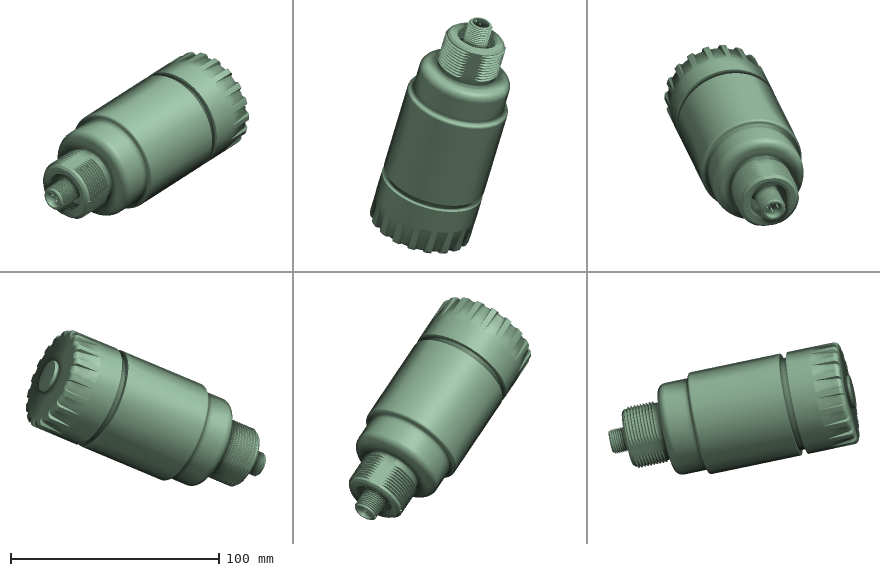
import cadquery as cq
import math


TOTAL_LENGTH = 119.3
SLEEVE_FRONT = 8.4
SLEEVE_LENGTH = 19.0
BODY_FRONT = SLEEVE_FRONT + SLEEVE_LENGTH
SHOULDER_START = 42.1
SEAL_GROOVE_START = 88.7
SEAL_GROOVE_END = 92.2
CAP_END = 117.2

BODY_RADIUS = 25.0
NECK_RADIUS = 22.5
NECK_ROUND = 4.0
SHOULDER_ROUND = (BODY_RADIUS - NECK_RADIUS) / 2
CAP_ROUND = 2.1

DISC_RADIUS = 8.1
DISC_TAPER = 0.4
DISC_WIDEST = (CAP_END + TOTAL_LENGTH) / 2

NOTCH_COUNT = 18
NOTCH_START = 104.1
NOTCH_BREAK = 107.7
NOTCH_WIDTH = 6.1
NOTCH_BREAK_DEPTH = 0.6
NOTCH_END_DEPTH = 1.65
NOTCH_WALL_DRAFT = 24.0
NOTCH_FLOOR_ROUND = 2.3

SLEEVE_MAJOR_RADIUS = 15.0
SLEEVE_ROOT_RADIUS = 14.08
SLEEVE_PITCH = 1.5
SLEEVE_THREAD_START = 10.2
SLEEVE_THREAD_LENGTH = 14.6
SLEEVE_CHAMFER = 1.0
SLEEVE_BASE_ROUND = 1.0
FLAT_WIDTH = 5.4
FLAT_HEIGHT = math.sqrt(SLEEVE_ROOT_RADIUS**2 - (FLAT_WIDTH / 2) ** 2)

BORE_RADIUS = 9.5
BORE_DEPTH = 14.0
BORE_FLOOR = SLEEVE_FRONT + BORE_DEPTH
BORE_CONE_RADIUS = 7.6
BORE_CONE_LENGTH = 4.0
BORE_THREAD_DEPTH = 1.8
BORE_THREAD_LENGTH = 8.0
BORE_THREAD_START = SLEEVE_FRONT - 0.75 * SLEEVE_PITCH

PLUG_MAJOR_RADIUS = 6.0
PLUG_ROOT_RADIUS = 5.4
PLUG_PITCH = 1.0
PLUG_THREAD_START = 0.8
PLUG_THREAD_LENGTH = 14.0
PLUG_TIP_CHAMFER = 0.4
PLUG_BASE_RADIUS = 7.3
PLUG_CONE_LENGTH = 3.0
SOCKET_RADIUS = 4.2
SOCKET_DEPTH = 8.0
KEY_X = -1.85
KEY_Z = 2.0
KEY_RECESS = 1.0
PIN_RADIUS = 0.45
PIN_CIRCLE_RADIUS = 2.5
PIN_RECESS = 2.0
PIN_COUNT = 4

THREAD_ROOT_FRACTION = 0.9
THREAD_CREST_FRACTION = 0.125

THREAD_OVERLAP = 0.15
CLEARANCE = 1.0


def revolve_about_axis(sketch):
    """Turn a radius / Y outline into a solid of revolution about the Y axis."""
    return sketch.close().revolve(360, (0, 0, 0), (0, 1, 0))


def cylinder(radius, start, length, x=0.0, z=0.0):
    """Cylinder along +Y from Y = start."""
    return cq.Workplane("XZ", origin=(x, start, z)).circle(radius).extrude(-length)


def helical_solid(root_radius, crest_radius, pitch, start, length):
    """Trapezoid swept along a helix about the Y axis."""
    half_root = THREAD_ROOT_FRACTION * pitch / 2
    half_crest = THREAD_CREST_FRACTION * pitch / 2
    path = cq.Wire.makeHelix(pitch, length, root_radius)
    profile = cq.Workplane("XZ").polyline(
        [
            (root_radius, -half_root),
            (crest_radius, -half_crest),
            (crest_radius, half_crest),
            (root_radius, half_root),
        ]
    )
    ridge = profile.close().sweep(cq.Workplane(path), isFrenet=True)
    return ridge.rotate((0, 0, 0), (1, 0, 0), -90).translate((0, start, 0))


def make_body():
    """Neck, main barrel, seal groove, cap and end disc in one revolved outline."""
    shoulder_mid = SHOULDER_START + SHOULDER_ROUND
    shoulder_end = shoulder_mid + SHOULDER_ROUND
    shoulder_mid_radius = NECK_RADIUS + SHOULDER_ROUND
    outline = (
        cq.Workplane("XY")
        .moveTo(0, BODY_FRONT)
        .lineTo(NECK_RADIUS - NECK_ROUND, BODY_FRONT)
        .radiusArc((NECK_RADIUS, BODY_FRONT + NECK_ROUND), -NECK_ROUND)
        .lineTo(NECK_RADIUS, SHOULDER_START)
        .radiusArc((shoulder_mid_radius, shoulder_mid), SHOULDER_ROUND)
        .radiusArc((BODY_RADIUS, shoulder_end), -SHOULDER_ROUND)
        .lineTo(BODY_RADIUS, SEAL_GROOVE_START)
        .lineTo(NECK_RADIUS, SEAL_GROOVE_START)
        .lineTo(NECK_RADIUS, SEAL_GROOVE_END)
        .lineTo(BODY_RADIUS, SEAL_GROOVE_END)
        .lineTo(BODY_RADIUS, CAP_END - CAP_ROUND)
        .radiusArc((BODY_RADIUS - CAP_ROUND, CAP_END), -CAP_ROUND)
        .lineTo(DISC_RADIUS - DISC_TAPER, CAP_END)
        .lineTo(DISC_RADIUS, DISC_WIDEST)
        .lineTo(DISC_RADIUS - DISC_TAPER, TOTAL_LENGTH)
        .lineTo(0, TOTAL_LENGTH)
    )
    return revolve_about_axis(outline)


def make_notch():
    """Cutter for the grip notch on the +Z side: a tapered wedge outside the notch floor."""
    floor_radius = BODY_RADIUS - NOTCH_END_DEPTH
    outer = BODY_RADIUS + CLEARANCE
    end = CAP_END + CLEARANCE
    inner = floor_radius - NOTCH_FLOOR_ROUND
    outside_floor = (
        cq.Workplane("XY")
        .moveTo(BODY_RADIUS, NOTCH_START)
        .lineTo(BODY_RADIUS - NOTCH_BREAK_DEPTH, NOTCH_BREAK)
        .lineTo(floor_radius, CAP_END - NOTCH_FLOOR_ROUND)
        .radiusArc((inner, CAP_END), -NOTCH_FLOOR_ROUND)
        .lineTo(inner, end)
        .lineTo(outer, end)
        .lineTo(outer, NOTCH_START)
    )
    draft = math.tan(math.radians(NOTCH_WALL_DRAFT))
    half_inner = NOTCH_WIDTH / 2 - (BODY_RADIUS - inner) * draft
    half_outer = NOTCH_WIDTH / 2 + CLEARANCE * draft
    wedge = (
        cq.Workplane("XZ", origin=(0, NOTCH_START - CLEARANCE, 0))
        .polyline([(-half_inner, inner), (half_inner, inner), (half_outer, outer), (-half_outer, outer)])
        .close()
        .extrude(-(end - NOTCH_START + 2 * CLEARANCE))
    )
    return wedge.intersect(revolve_about_axis(outside_floor))


def cut_notches(body):
    """Cut the ring of grip notches into the rim of the cap."""
    notch = make_notch()
    cutters = cq.Workplane("XY")
    for index in range(NOTCH_COUNT):
        angle = index * 360 / NOTCH_COUNT
        cutters = cutters.add(notch.rotate((0, 0, 0), (0, 1, 0), angle))
    return body.cut(cutters.combine())


def sleeve_outline(plane, half_size):
    """Half outline of the sleeve: chamfered front, rounded flare where it meets the body."""
    base = half_size + SLEEVE_BASE_ROUND
    return (
        cq.Workplane(plane)
        .moveTo(0, SLEEVE_FRONT)
        .lineTo(half_size - SLEEVE_CHAMFER, SLEEVE_FRONT)
        .lineTo(half_size, SLEEVE_FRONT + SLEEVE_CHAMFER)
        .lineTo(half_size, BODY_FRONT - SLEEVE_BASE_ROUND)
        .radiusArc((base, BODY_FRONT), SLEEVE_BASE_ROUND)
        .lineTo(base, BODY_FRONT + CLEARANCE)
        .lineTo(0, BODY_FRONT + CLEARANCE)
    )


def make_sleeve():
    """Externally threaded sleeve with two opposite flats, solid inside.

    Core and thread are trimmed to the flats separately, which keeps the booleans robust.
    """
    core = revolve_about_axis(sleeve_outline("XY", SLEEVE_ROOT_RADIUS))
    thread = helical_solid(
        SLEEVE_ROOT_RADIUS - THREAD_OVERLAP,
        SLEEVE_MAJOR_RADIUS,
        SLEEVE_PITCH,
        SLEEVE_THREAD_START,
        SLEEVE_THREAD_LENGTH,
    )
    above_axis = sleeve_outline("ZY", FLAT_HEIGHT).close().extrude(2 * SLEEVE_MAJOR_RADIUS, both=True)
    between_flats = above_axis.union(above_axis.mirror("XY"))
    return core.intersect(between_flats).union(thread.intersect(between_flats), clean=False)


def make_bore():
    """Cutter for the annular space between sleeve and plug, with its internal thread."""
    start = SLEEVE_FRONT - CLEARANCE
    space = (
        cq.Workplane("XY")
        .moveTo(PLUG_ROOT_RADIUS, start)
        .lineTo(BORE_RADIUS, start)
        .lineTo(BORE_RADIUS, BORE_FLOOR - BORE_CONE_LENGTH)
        .lineTo(BORE_CONE_RADIUS, BORE_FLOOR)
        .lineTo(PLUG_BASE_RADIUS, BORE_FLOOR)
        .lineTo(PLUG_ROOT_RADIUS, BORE_FLOOR - PLUG_CONE_LENGTH)
    )
    thread = helical_solid(
        BORE_RADIUS - THREAD_OVERLAP,
        BORE_RADIUS + BORE_THREAD_DEPTH,
        SLEEVE_PITCH,
        BORE_THREAD_START,
        BORE_THREAD_LENGTH,
    )
    return revolve_about_axis(space).union(thread)


def make_plug():
    """Threaded plug with a keyed socket and contact pins."""
    shank = cylinder(PLUG_ROOT_RADIUS, 0, BORE_FLOOR + CLEARANCE)
    shank = shank.faces("<Y").chamfer(PLUG_TIP_CHAMFER)
    thread = helical_solid(
        PLUG_ROOT_RADIUS - THREAD_OVERLAP,
        PLUG_MAJOR_RADIUS,
        PLUG_PITCH,
        PLUG_THREAD_START,
        PLUG_THREAD_LENGTH,
    )
    plug = shank.union(thread).cut(cylinder(SOCKET_RADIUS, 0, SOCKET_DEPTH))

    key_length = SOCKET_DEPTH - KEY_RECESS
    key_block = (
        cq.Workplane("XY")
        .box(SOCKET_RADIUS, key_length, SOCKET_RADIUS, centered=False)
        .translate((KEY_X - SOCKET_RADIUS, KEY_RECESS, KEY_Z))
    )
    plug = plug.union(key_block.intersect(cylinder(SOCKET_RADIUS + THREAD_OVERLAP, 0, SOCKET_DEPTH)))

    for index in range(PIN_COUNT):
        angle = 2 * math.pi * index / PIN_COUNT
        x = PIN_CIRCLE_RADIUS * math.cos(angle)
        z = PIN_CIRCLE_RADIUS * math.sin(angle)
        plug = plug.union(cylinder(PIN_RADIUS, PIN_RECESS, SOCKET_DEPTH, x, z))
    return plug


connector_end = make_sleeve().cut(make_bore(), clean=False).union(make_plug(), clean=False)
housing = cut_notches(make_body())
result = housing.union(connector_end)